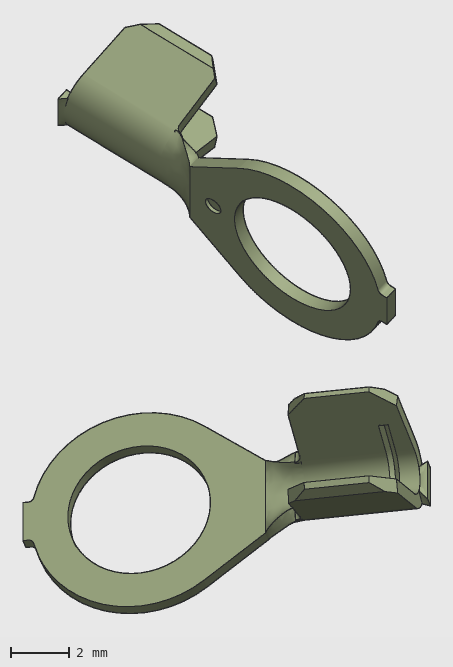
import cadquery as cq
import math


sheet = 0.5
total_length = 14.22
total_depth = 4.07

ring_x = 10.14
ring_radius = 3.81
stud_hole_diameter = 5.0
dimple_x = 6.71
dimple_diameter = 0.67
dimple_depth = 0.14
tongue_start_x = 5.7
tongue_start_half_width = 1.44
tab_half_width = 0.75
tab_fillet = 0.2

barrel_end_x = 4.31
bend_outer_radius = 1.4
arm_angle = 15.3
entry_x = 0.23
entry_slope = 5.0
tip_thickness = 0.24
tip_bevel_length = 0.44
tip_start_x = 1.32
tip_end_x = 3.6
entry_tab_root_x = 0.27

serration_x = 1.15
serration_width = 0.34
serration_depth = 0.13
serration_arm_reach = 1.34

neck_steps = 4
notch_fillet_radius = 0.23
notch_fillet_overlap = 0.07

bend_inner_radius = bend_outer_radius - sheet
arm_cos = math.cos(math.radians(arm_angle))
arm_sin = math.sin(math.radians(arm_angle))
arm_root_y = bend_outer_radius - bend_inner_radius * arm_sin
arm_root_z = bend_inner_radius * arm_cos
arm_length = (total_depth - arm_root_y) / arm_cos


def arm_point(along, outward):
    """(Y, Z) of a point on the upper arm, from the root of its inner face."""
    return (
        arm_root_y + along * arm_cos - outward * arm_sin,
        arm_root_z + along * arm_sin + outward * arm_cos,
    )


def mirrored(point):
    """The same (Y, Z) point on the other side of the symmetry plane."""
    return (point[0], -point[1])


def bend_point(radius, angle, centre_y):
    """(Y, Z) on a bend about the X direction; angle 0 is the lowest Y."""
    return (centre_y - radius * math.cos(angle), radius * math.sin(angle))


def ring_tongue():
    """Flat ring with tangent flanks running back to the neck and an end tab."""
    run = ring_x - tongue_start_x
    distance = math.hypot(run, tongue_start_half_width)
    flank_angle = math.asin(ring_radius / distance) - math.atan2(tongue_start_half_width, run)
    tangent_x = ring_x - ring_radius * math.sin(flank_angle)
    tangent_z = ring_radius * math.cos(flank_angle)

    plate = (
        cq.Workplane("XZ")
        .moveTo(tongue_start_x, -tongue_start_half_width)
        .lineTo(tangent_x, -tangent_z)
        .threePointArc((ring_x + ring_radius, 0), (tangent_x, tangent_z))
        .lineTo(tongue_start_x, tongue_start_half_width)
        .close()
        .extrude(-sheet)
    )
    tab = (
        cq.Workplane("XZ")
        .moveTo((ring_x + total_length) / 2, 0)
        .rect(total_length - ring_x, 2 * tab_half_width)
        .extrude(-sheet)
    )
    tab_root_x = ring_x + math.sqrt(ring_radius**2 - tab_half_width**2)
    tongue = plate.union(tab)
    for side in (-1, 1):
        root = cq.selectors.NearestToPointSelector((tab_root_x, sheet / 2, side * tab_half_width))
        tongue = tongue.edges("|Y").edges(root).fillet(tab_fillet)

    stud_hole = cq.Workplane("XZ").center(ring_x, 0).circle(stud_hole_diameter / 2).extrude(-sheet)
    dimple = cq.Workplane("XZ").center(dimple_x, 0).circle(dimple_diameter / 2).extrude(-dimple_depth)
    return tongue.cut(stud_hole).cut(dimple)


def corner_cutter(side, corner_x, direction):
    """Prism through an arm that trims one tip corner at 45 degrees."""
    overshoot = 0.14
    reach = 1.42
    plane = cq.Plane(
        origin=(0, arm_root_y, side * arm_root_z),
        xDir=(1, 0, 0),
        normal=(0, -arm_sin, side * arm_cos),
    )
    outer_x = corner_x + direction * reach
    return (
        cq.Workplane(plane)
        .moveTo(corner_x - direction * overshoot, side * (arm_length + overshoot))
        .lineTo(outer_x, side * (arm_length + overshoot))
        .lineTo(outer_x, side * (arm_length - reach))
        .close()
        .extrude(2 * sheet, both=True)
    )


def crimp_barrel():
    """U-shaped barrel with bevelled, corner-trimmed arms and a sloped entry."""
    upper = [
        arm_point(0, sheet),
        arm_point(arm_length - tip_bevel_length, sheet),
        arm_point(arm_length, tip_thickness),
        arm_point(arm_length, 0),
        arm_point(0, 0),
    ]
    lower = [mirrored(point) for point in reversed(upper)]
    barrel = (
        cq.Workplane("YZ")
        .polyline(upper)
        .threePointArc((sheet, 0), lower[0])
        .polyline(lower[1:], includeCurrent=True)
        .threePointArc((0, 0), upper[0])
        .close()
        .extrude(barrel_end_x)
    )
    for side in (-1, 1):
        barrel = barrel.cut(corner_cutter(side, tip_start_x, -1))
        barrel = barrel.cut(corner_cutter(side, tip_end_x, 1))

    slope_rise = total_depth * math.tan(math.radians(entry_slope))
    entry_cut = (
        cq.Workplane("XY")
        .polyline([(0, 0), (entry_x, 0), (entry_x + slope_rise, total_depth), (0, total_depth)])
        .close()
        .extrude(total_depth, both=True)
    )
    return barrel.cut(entry_cut)


def serration():
    """V-groove cutter following the inside of the bend and part of each arm."""
    cutter = (
        cq.Workplane("XY")
        .moveTo(serration_x, sheet - serration_depth)
        .lineTo(serration_x - serration_width, sheet + serration_depth)
        .lineTo(serration_x + serration_width, sheet + serration_depth)
        .close()
        .revolve(360, (0, bend_outer_radius), (1, bend_outer_radius))
    )
    for side in (-1, 1):
        plane = cq.Plane(
            origin=(serration_x, arm_root_y, side * arm_root_z),
            xDir=(1, 0, 0),
            normal=(0, arm_cos, side * arm_sin),
        )
        deep = -side * serration_depth
        arm_groove = (
            cq.Workplane(plane)
            .moveTo(0, deep)
            .lineTo(-serration_width, -deep)
            .lineTo(serration_width, -deep)
            .close()
            .extrude(serration_arm_reach)
        )
        cutter = cutter.union(arm_groove)
    return cutter


def bent_strip(x, outer_radius, half_angle):
    """Closed wire of the sheet section bent to a given outer radius."""
    inner_radius = outer_radius - sheet
    outer_end = bend_point(outer_radius, half_angle, outer_radius)
    inner_end = bend_point(inner_radius, half_angle, outer_radius)
    return (
        cq.Workplane("YZ", origin=(x, 0, 0))
        .moveTo(*outer_end)
        .lineTo(*inner_end)
        .threePointArc((sheet, 0), mirrored(inner_end))
        .lineTo(*mirrored(outer_end))
        .threePointArc((0, 0), outer_end)
        .close()
        .val()
    )


def flat_strip(x, half_width):
    """Closed wire of the flat sheet section, in the same order as bent_strip."""
    return (
        cq.Workplane("YZ", origin=(x, 0, 0))
        .moveTo(0, half_width)
        .lineTo(sheet, half_width)
        .lineTo(sheet, -half_width)
        .lineTo(0, -half_width)
        .close()
        .val()
    )


def neck():
    """Sheet flattening smoothly from the barrel bend into the tongue."""
    barrel_half_width = bend_outer_radius * arm_cos
    sections = []
    for step in range(neck_steps):
        progress = step / neck_steps
        curl = 1 - progress**2
        outer_radius = bend_outer_radius / curl
        half_width = barrel_half_width + (tongue_start_half_width - barrel_half_width) * progress
        x = barrel_end_x + (tongue_start_x - barrel_end_x) * progress
        sections.append(bent_strip(x, outer_radius, math.asin(half_width / outer_radius)))
    sections.append(flat_strip(tongue_start_x, tongue_start_half_width))
    return cq.Workplane(cq.Solid.makeLoft(sections))


def entry_tab():
    """Short flat cut-off tab blending into the floor of the barrel."""
    half_angle = math.asin(tab_half_width / bend_outer_radius)
    sections = [
        flat_strip(0, tab_half_width),
        bent_strip(entry_tab_root_x, bend_outer_radius, half_angle),
    ]
    return cq.Workplane(cq.Solid.makeLoft(sections, True))


def notch_fillet(side):
    """Concave corner filler where the end of one arm meets the edge of the neck."""
    plane = cq.Plane(
        origin=(barrel_end_x, arm_root_y, side * arm_root_z),
        xDir=(1, 0, 0),
        normal=(0, -arm_sin, side * arm_cos),
    )
    radius = notch_fillet_radius
    arc_sagitta = radius * (1 - math.sqrt(0.5))
    return (
        cq.Workplane(plane)
        .moveTo(0, side * radius)
        .threePointArc((arc_sagitta, side * arc_sagitta), (radius, 0))
        .lineTo(radius, -side * notch_fillet_overlap)
        .lineTo(0, -side * notch_fillet_overlap)
        .close()
        .extrude(sheet)
    )


result = crimp_barrel().union(neck())
for arm_side in (-1, 1):
    result = result.union(notch_fillet(arm_side))
result = result.union(entry_tab()).union(ring_tongue()).cut(serration())